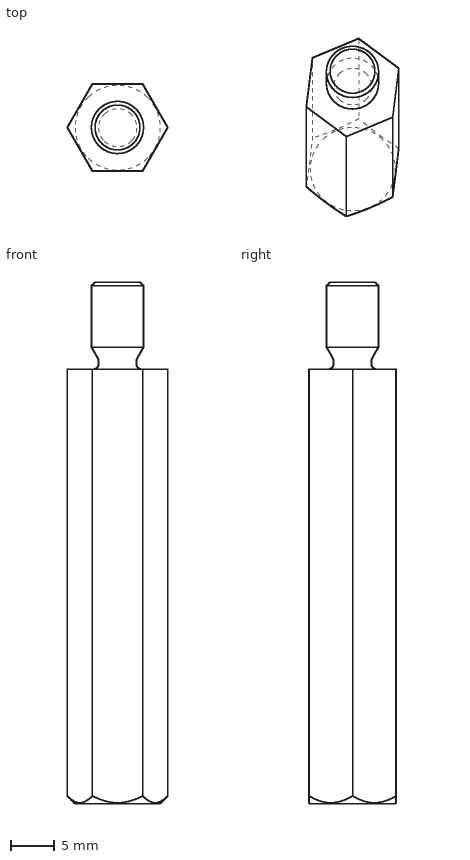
import cadquery as cq
import math

total_length = 60.0
body_length = 50.0
across_flats = 10.0
across_corners = across_flats / math.cos(math.radians(30))
foot_chamfer = 0.9

stud_radius = 6.0 / 2
stud_chamfer = 0.4
stud_start = 52.5

neck_radius = 4.4 / 2
undercut_fillet = 0.6
undercut_angle = math.radians(30)


def make_body():
    hexagon = cq.Workplane("XY").polygon(6, across_corners).extrude(body_length)
    corner_radius = across_corners / 2
    envelope = cq.Workplane("XY").circle(corner_radius).extrude(body_length)
    envelope = envelope.faces("<Z").chamfer(foot_chamfer)
    return hexagon.intersect(envelope)


def make_stud():
    base_radius = neck_radius + undercut_fillet
    neck_bottom = body_length + undercut_fillet
    diagonal = undercut_fillet * math.sqrt(0.5)
    base_middle = (base_radius - diagonal, neck_bottom - diagonal)

    cone_foot = stud_start - (stud_radius - neck_radius) / math.tan(undercut_angle)
    neck_top = cone_foot - undercut_fillet * math.tan(undercut_angle / 2)

    def upper_fillet_point(angle):
        return (
            base_radius - undercut_fillet * math.cos(angle),
            neck_top + undercut_fillet * math.sin(angle),
        )

    profile = (
        cq.Workplane("XZ")
        .moveTo(0, body_length)
        .lineTo(base_radius, body_length)
        .threePointArc(base_middle, (neck_radius, neck_bottom))
        .lineTo(neck_radius, neck_top)
        .threePointArc(upper_fillet_point(undercut_angle / 2), upper_fillet_point(undercut_angle))
        .lineTo(stud_radius, stud_start)
        .lineTo(stud_radius, total_length - stud_chamfer)
        .lineTo(stud_radius - stud_chamfer, total_length)
        .lineTo(0, total_length)
        .close()
    )
    return profile.revolve(360, (0, 0, 0), (0, 1, 0))


result = make_body().union(make_stud())